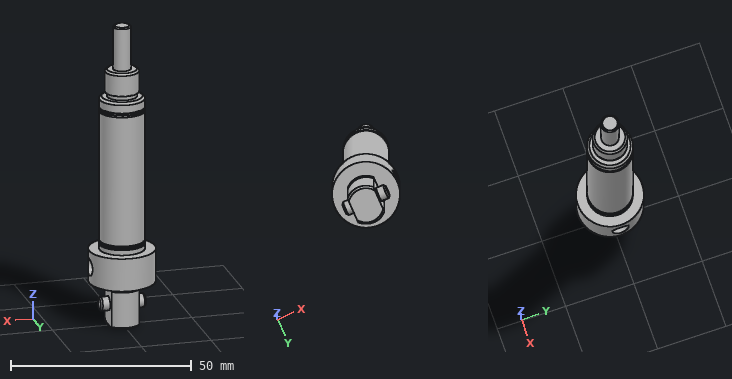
import cadquery as cq

overall_height = 87.38

rod_dia = 5.0
rod_chamfer = 0.4

nose_dia = 9.6
nose_top = 74.7
nose_bottom = 68.1
nose_chamfer = 0.6
relief_dia = 8.5

barrel_dia = 12.8
barrel_top = 66.8
barrel_chamfer = 0.7
tube_bottom = 24.3
tube_top = 63.0
ring_thickness = 0.65
edge_chamfer = 0.5

collar_dia = 18.8
collar_bottom = 12.65
collar_height = 9.5
collar_top = collar_bottom + collar_height
port_dia = 4.8
port_depth = 6.0

tongue_dia = 10.9
tongue_thickness = 7.85
tongue_chamfer = 0.6
tongue_groove_radius = 0.53
tongue_groove_height = 11.4

pin_dia = 4.0
pin_length = 13.0
pin_chamfer = 0.5
pin_height = 6.35


def cylinder(diameter, bottom, top):
    return cq.Workplane("XY").workplane(offset=bottom).circle(diameter / 2).extrude(top - bottom)


def cross_cylinder(diameter, start, length, height):
    """Cylinder along X, starting at X = start."""
    return cq.Workplane("YZ", origin=(start, 0, height)).circle(diameter / 2).extrude(length)


def make_tongue():
    tongue = cylinder(tongue_dia, 0, collar_bottom).faces("<Z").chamfer(tongue_chamfer)
    groove = (
        cq.Workplane("XZ")
        .center(tongue_dia / 2, tongue_groove_height)
        .circle(tongue_groove_radius)
        .revolve(360, (-tongue_dia / 2, 0), (-tongue_dia / 2, 1))
    )
    flats = cq.Workplane("XY").box(tongue_thickness, tongue_dia, collar_bottom, centered=(True, True, False))
    return tongue.cut(groove).intersect(flats)


def make_barrel():
    """Tube between two rings and two end caps; chamfered outer edges leave a notch at every joint."""
    tube = cylinder(barrel_dia, tube_bottom, tube_top).faces("<Z or >Z").chamfer(edge_chamfer)
    lower_ring_bottom = tube_bottom - ring_thickness
    lower_ring = cylinder(barrel_dia, lower_ring_bottom, tube_bottom).faces("<Z").chamfer(edge_chamfer)
    upper_ring_top = tube_top + ring_thickness
    upper_ring = cylinder(barrel_dia, tube_top, upper_ring_top).faces(">Z").chamfer(edge_chamfer)
    rear_cap = cylinder(barrel_dia, collar_top, lower_ring_bottom)
    front_cap = cylinder(barrel_dia, upper_ring_top, barrel_top).faces(">Z").chamfer(barrel_chamfer)
    return rear_cap.union(lower_ring).union(tube).union(upper_ring).union(front_cap)


def make_housing():
    collar = cylinder(collar_dia, collar_bottom, collar_top)
    relief = cylinder(relief_dia, barrel_top, nose_bottom)
    nose = cylinder(nose_dia, nose_bottom, nose_top).faces(">Z").chamfer(nose_chamfer)
    housing = make_tongue().union(collar).union(make_barrel()).union(relief).union(nose)
    port_height = collar_bottom + collar_height / 2
    port = cross_cylinder(port_dia, collar_dia / 2 - port_depth, port_depth, port_height)
    pin_hole = cross_cylinder(pin_dia, -pin_length / 2, pin_length, pin_height)
    return housing.cut(port).cut(pin_hole)


def make_rod():
    return cylinder(rod_dia, nose_top, overall_height).faces(">Z").chamfer(rod_chamfer)


def make_pin():
    pin = cross_cylinder(pin_dia, -pin_length / 2, pin_length, pin_height)
    return pin.faces("<X or >X").chamfer(pin_chamfer)


housing = make_housing()
rod = make_rod()
pin = make_pin()

result = cq.Compound.makeCompound([housing.val(), rod.val(), pin.val()])